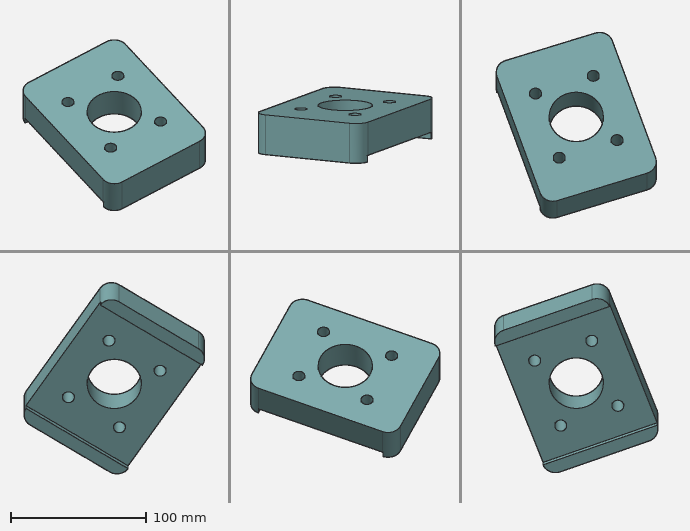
import cadquery as cq

length = 120.0
width = 90.0
height = 30.0
corner_radius = 10.0

channel_width = 100.6
channel_depth = 5.0

bore_diameter = 40.0
bolt_hole_diameter = 8.8
bolt_spacing_x = 55.0
bolt_spacing_y = 45.0


def rounded_block():
    """Block standing on Z = 0 with rounded vertical corners."""
    block = cq.Workplane("XY").box(length, width, height, centered=(True, True, False))
    return block.edges("|Z").fillet(corner_radius)


def underside_channel():
    """Cutter running the full width in Y, open at the bottom face."""
    return cq.Workplane("XY").box(channel_width, width, channel_depth, centered=(True, True, False))


def through_holes():
    """Central bore and the four bolt holes around it."""
    bore = cq.Workplane("XY").circle(bore_diameter / 2).extrude(height)
    bolt_holes = (
        cq.Workplane("XY")
        .rect(bolt_spacing_x, bolt_spacing_y, forConstruction=True)
        .vertices()
        .circle(bolt_hole_diameter / 2)
        .extrude(height)
    )
    return bore.union(bolt_holes)


result = rounded_block().cut(underside_channel()).cut(through_holes())